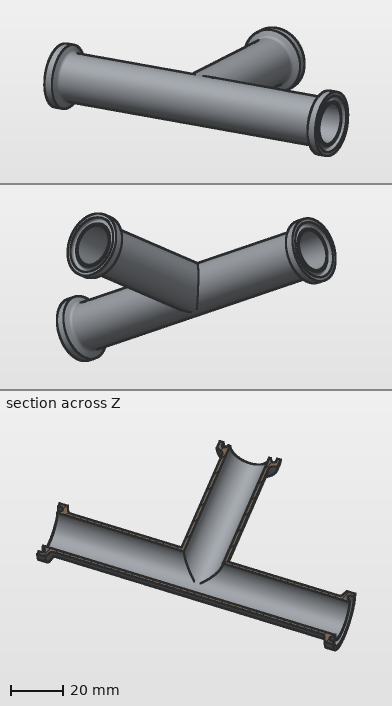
import cadquery as cq
import math

run_length = 120.6
branch_length = 60.3
tube_diameter = 19.1
bore_diameter = 15.8

flange_diameter = 25.0
rim_width = 3.4
taper_angle = 25.0
neck_fillet_radius = 1.3

seat_diameter = 21.8
land_diameter = 17.4
land_depth = 0.7
groove_wall_foot_diameter = 18.8
groove_wall_angle = 55.0


def ferruled_tube(length):
    """Solid tube on the Z axis from the origin to a ferrule face at z = length."""
    tube_radius = tube_diameter / 2
    flange_radius = flange_diameter / 2
    taper = math.radians(taper_angle)
    corner = length - rim_width - (flange_radius - tube_radius) * math.tan(taper)
    tangent_length = neck_fillet_radius * math.tan((math.pi / 2 - taper) / 2)
    fillet_end = (
        tube_radius + tangent_length * math.cos(taper),
        corner + tangent_length * math.sin(taper),
    )
    return (
        cq.Workplane("XZ")
        .lineTo(tube_radius, 0)
        .lineTo(tube_radius, corner - tangent_length)
        .tangentArcPoint(fillet_end, relative=False)
        .lineTo(flange_radius, length - rim_width)
        .lineTo(flange_radius, length)
        .lineTo(0, length)
        .close()
        .revolve(360, (0, 0, 0), (0, 1, 0))
    )


def gasket_seat(length):
    """Volume to cut from the ferrule face at z = length."""
    seat_radius = seat_diameter / 2
    land_radius = land_diameter / 2
    foot_radius = groove_wall_foot_diameter / 2
    wall_angle = math.radians(groove_wall_angle)
    foot_depth = land_depth + (foot_radius - land_radius) * math.tan(wall_angle)
    floor_radius = (seat_radius - foot_radius) / (1 + math.sin(wall_angle))
    outer_wall_depth = foot_depth - floor_radius * math.cos(wall_angle)
    return (
        cq.Workplane("XZ")
        .moveTo(0, length)
        .lineTo(seat_radius, length)
        .lineTo(seat_radius, length - outer_wall_depth)
        .tangentArcPoint((foot_radius, length - foot_depth), relative=False)
        .lineTo(land_radius, length - land_depth)
        .lineTo(0, length - land_depth)
        .close()
        .revolve(360, (0, 0, 0), (0, 1, 0))
    )


def bore(length):
    """Cylinder to cut along the Z axis from the origin to z = length."""
    return cq.Workplane("XY").circle(bore_diameter / 2).extrude(length)


legs = [
    (run_length / 2, (0, 1, 0), 90),
    (run_length / 2, (0, 1, 0), -90),
    (branch_length, (1, 0, 0), -90),
]


def all_legs(make_shape):
    """Union of make_shape(length) over the legs, each turned to its direction."""
    shapes = cq.Workplane("XY")
    for length, axis, angle in legs:
        shapes = shapes.add(make_shape(length).rotate((0, 0, 0), axis, angle))
    return shapes.combine()


body = all_legs(ferruled_tube)
result = body.cut(all_legs(bore)).cut(all_legs(gasket_seat))